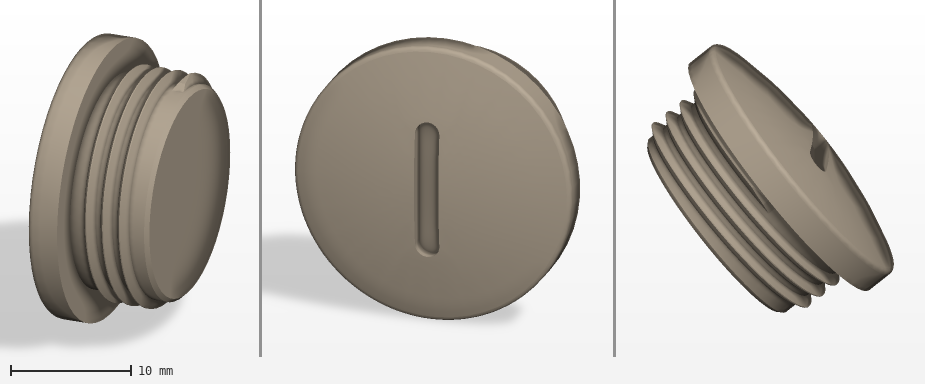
import cadquery as cq
import math

total_length = 11.45

head_diameter = 24.08
head_back = 4.45
dome_height = 1.88
rim_fillet = 0.48

shank_diameter = 18.37
shank_chamfer = 0.34

slot_width = 2.12
slot_length = 11.9
slot_floor = 1.6

thread_diameter = 20.0
thread_length = 5.25
thread_turns = 3.5
thread_start = 5.1
crest_width = 0.1
flank_angle = 30.0
thread_overlap = 0.12

ramp_length = 0.96
ramp_top = 9.5
slope_length = 1.73
slope_top = 9.63
trim_margin = 0.25

head_radius = head_diameter / 2
shank_radius = shank_diameter / 2
thread_radius = thread_diameter / 2
thread_pitch = thread_length / thread_turns


def make_head():
    """Disc with a spherical dome and a rounded rim."""
    dome_radius = (head_radius**2 + dome_height**2) / (2 * dome_height)
    mid_y = head_radius / 2
    mid_x = dome_radius - math.sqrt(dome_radius**2 - mid_y**2)
    head = (
        cq.Workplane("XY")
        .moveTo(0, 0)
        .threePointArc((mid_x, mid_y), (dome_height, head_radius))
        .lineTo(head_back, head_radius)
        .lineTo(head_back, 0)
        .close()
        .revolve(360, (0, 0, 0), (1, 0, 0))
    )
    return head.edges(cq.selectors.RadiusNthSelector(0)).edges("<X").fillet(rim_fillet)


def make_shank():
    """Cylinder behind the head, chamfered at its free end."""
    return (
        cq.Workplane("YZ", origin=(head_back, 0, 0))
        .circle(shank_radius)
        .extrude(total_length - head_back)
        .faces(">X")
        .chamfer(shank_chamfer)
    )


def make_slot():
    """Screwdriver slot along Z, cut into the dome."""
    return cq.Workplane("YZ").slot2D(slot_length, slot_width, 90).extrude(slot_floor)


def make_end_trim():
    """Material to remove from the last stretch of thread, which ends at +Z."""
    end_x = thread_start + thread_length
    outside = thread_radius + trim_margin
    return (
        cq.Workplane("YZ", origin=(end_x, 0, 0))
        .polyline([
            (-trim_margin, shank_radius),
            (0, shank_radius),
            (ramp_length, ramp_top),
            (ramp_length + slope_length, slope_top),
            (ramp_length + slope_length, outside),
            (-trim_margin, outside),
        ])
        .close()
        .extrude(thread_pitch / 2, both=True)
    )


def make_thread():
    """Right-hand thread from -Z to +Z, with both ends ramped down to the shank."""
    root_radius = shank_radius - thread_overlap
    half_crest = crest_width / 2
    half_root = half_crest + (thread_radius - root_radius) * math.tan(math.radians(flank_angle))
    helix = cq.Wire.makeHelix(thread_pitch, thread_length, root_radius)
    thread = (
        cq.Workplane("XZ")
        .polyline([
            (root_radius, -half_root),
            (thread_radius, -half_crest),
            (thread_radius, half_crest),
            (root_radius, half_root),
        ])
        .close()
        .sweep(cq.Workplane(helix), isFrenet=True)
        .rotate((0, 0, 0), (0, 1, 0), 90)
        .translate((thread_start, 0, 0))
    )
    end_trim = make_end_trim()
    middle_x = thread_start + thread_length / 2
    start_trim = end_trim.rotate((middle_x, 0, 0), (middle_x, 1, 0), 180)
    return thread.cut(end_trim).cut(start_trim)


result = make_head().cut(make_slot()).union(make_shank()).union(make_thread())